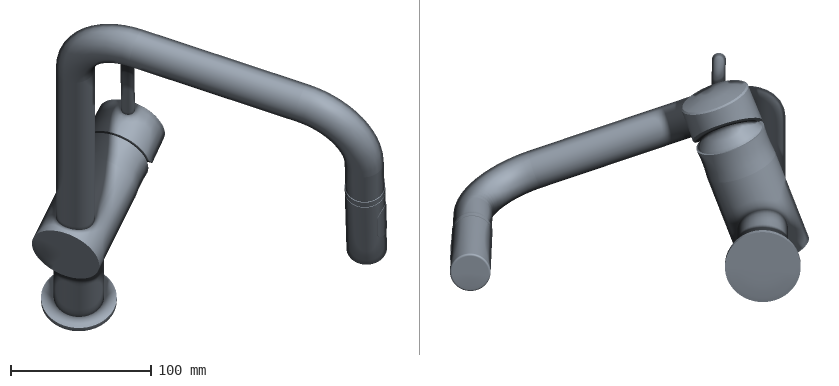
import cadquery as cq
import math


flange_diameter = 54.0
flange_rim_height = 4.0
flange_height = 5.0
post_diameter = 36.0

housing_diameter = 52.0
housing_height = 88.0
housing_front = -25.0
housing_length = 70.3
sleeve_length = 22.5
sleeve_waist_diameter = 50.5
sleeve_end_diameter = 51.5
neck_diameter = 48.5
neck_length = 16.0
neck_tip_diameter = 26.0

tube_diameter = 28.0
spout_y = -6.5
spout_top = 353.2
bend_radius = 47.5
spout_reach = 222.2
outlet_tilt = 1.1
outlet_tube_length = 29.5

head_diameter = 29.0
head_length = 75.5
collar_length = 5.0
groove_width = 1.0
groove_depth = 0.5
head_rim_fillet = 1.5
button_length = 32.5
button_width = 16.2
button_drop = 33.2
button_height = 0.5

handle_tilt = 1.2
knob_diameter = 52.0
knob_end_diameter = 51.0
knob_gap = 2.0
knob_length = 31.0
knob_edge_bevel = 1.0
dome_diameter = 48.5
dome_height = 3.2
relief_start_height = 5.5
relief_run = 18.5
relief_drop = 31.0
lever_diameter = 10.0
lever_from_sleeve = 25.5
lever_top = 91.0
lever_seat_height = 14.0
lever_chamfer = 0.7

housing_end = housing_front + housing_length
sleeve_end = housing_end + sleeve_length
tube_axis_height = spout_top - tube_diameter / 2
bend_start_height = tube_axis_height - bend_radius
tilt = math.radians(outlet_tilt)
outlet_x = spout_reach - bend_radius + bend_radius * math.cos(tilt)
outlet_z = bend_start_height + bend_radius * math.sin(tilt)


def tilt_handle(shape):
    """Lean a handle body towards the front about the X line through the end of the sleeve."""
    pivot = (0, sleeve_end, housing_height)
    return shape.rotate(pivot, (1, sleeve_end, housing_height), handle_tilt)


def along_housing(profile):
    """Revolve a profile, drawn as (radius, Y), about the housing axis."""
    return profile.revolve(360, (0, 0, 0), (0, 1, 0)).translate((0, 0, housing_height))


def along_outlet(shape):
    """Move a shape built downwards from the origin onto the tilted outlet axis."""
    tilted = shape.rotate((0, 0, 0), (0, 1, 0), -outlet_tilt)
    return tilted.translate((outlet_x, spout_y, outlet_z))


def make_base():
    """Flange with a gently sloping top, and the post rising into the housing."""
    flange = (
        cq.Workplane("XZ")
        .lineTo(flange_diameter / 2, 0)
        .lineTo(flange_diameter / 2, flange_rim_height)
        .lineTo(post_diameter / 2, flange_height)
        .lineTo(0, flange_height)
        .close()
        .revolve(360, (0, 0, 0), (0, 1, 0))
    )
    post = cq.Workplane("XY").circle(post_diameter / 2).extrude(housing_height)
    return flange.union(post)


def make_neck():
    """Cone that carries the handle knob."""
    profile = (
        cq.Workplane("XY")
        .moveTo(0, sleeve_end)
        .lineTo(neck_diameter / 2, sleeve_end)
        .lineTo(neck_tip_diameter / 2, sleeve_end + neck_length)
        .lineTo(0, sleeve_end + neck_length)
        .close()
    )
    return along_housing(profile)


def make_spout():
    """Tube that rises from the housing, crosses over and turns down."""
    path = (
        cq.Workplane("XZ", origin=(0, spout_y, 0))
        .moveTo(0, housing_height)
        .lineTo(0, bend_start_height)
        .radiusArc((bend_radius, tube_axis_height), bend_radius)
        .lineTo(spout_reach - bend_radius, tube_axis_height)
        .radiusArc((outlet_x, outlet_z), bend_radius)
        .line(outlet_tube_length * math.sin(tilt), -outlet_tube_length * math.cos(tilt))
    )
    section = cq.Workplane("XY", origin=(0, spout_y, housing_height)).circle(tube_diameter / 2)
    return section.sweep(path)


def make_housing(base, spout):
    """Barrel, waisted sleeve and neck, with sockets for the post and the spout."""
    barrel_and_sleeve = (
        cq.Workplane("XY")
        .moveTo(0, housing_front)
        .lineTo(housing_diameter / 2, housing_front)
        .lineTo(housing_diameter / 2, housing_end)
        .threePointArc(
            (sleeve_waist_diameter / 2, housing_end + sleeve_length / 2),
            (sleeve_end_diameter / 2, sleeve_end),
        )
        .lineTo(0, sleeve_end)
        .close()
    )
    return along_housing(barrel_and_sleeve).union(make_neck()).cut(base).cut(spout)


def make_spray_head():
    """Pull-out head with a collar groove, a rounded rim and a raised button."""
    radius = head_diameter / 2
    body = (
        cq.Workplane("XY")
        .circle(radius)
        .extrude(-head_length)
        .faces("<Z")
        .edges()
        .fillet(head_rim_fillet)
    )
    groove = (
        cq.Workplane("XY", origin=(0, 0, -collar_length))
        .circle(radius)
        .circle(radius - groove_depth)
        .extrude(-groove_width)
    )
    button_envelope = cq.Workplane("XY").circle(radius + button_height).extrude(-head_length)
    button = (
        cq.Workplane("YZ", origin=(0, 0, -button_drop))
        .slot2D(button_length, button_width, 90)
        .extrude(head_diameter)
        .intersect(button_envelope)
    )
    head = body.cut(groove).union(button).translate((0, 0, -outlet_tube_length))
    return along_outlet(head)


def make_lever():
    """Slim rod standing on the knob."""
    seat_centre = (0, sleeve_end + lever_from_sleeve, housing_height + lever_seat_height)
    rod_length = lever_top - lever_seat_height
    rod = cq.Workplane("XY", origin=seat_centre).circle(lever_diameter / 2).extrude(rod_length)
    return tilt_handle(rod.faces(">Z").edges().chamfer(lever_chamfer))


def make_knob(lever):
    """Domed knob, cut away underneath, hollowed for the neck and drilled for the lever."""
    start = sleeve_end + knob_gap
    end = start + knob_length
    dome_radius = ((dome_diameter / 2) ** 2 + dome_height ** 2) / (2 * dome_height)
    profile = (
        cq.Workplane("XY")
        .moveTo(0, start)
        .lineTo(knob_diameter / 2, start)
        .lineTo(knob_end_diameter / 2, end - knob_edge_bevel)
        .lineTo(dome_diameter / 2, end)
        .radiusArc((0, end + dome_height), -dome_radius)
        .close()
    )
    relief_z = housing_height + relief_start_height
    relief = (
        cq.Workplane("YZ")
        .polyline([
            (start, relief_z),
            (start + relief_run, relief_z - relief_drop),
            (start + relief_run, relief_z - knob_diameter),
            (start, relief_z - knob_diameter),
        ])
        .close()
        .extrude(knob_diameter / 2, both=True)
    )
    knob = tilt_handle(along_housing(profile).cut(relief))
    return knob.cut(make_neck()).cut(lever)


base = make_base()
spout = make_spout()
housing = make_housing(base, spout)
spray_head = make_spray_head()
lever = make_lever()
knob = make_knob(lever)

result = cq.Compound.makeCompound([
    base.val(),
    housing.val(),
    spout.val(),
    spray_head.val(),
    lever.val(),
    knob.val(),
])